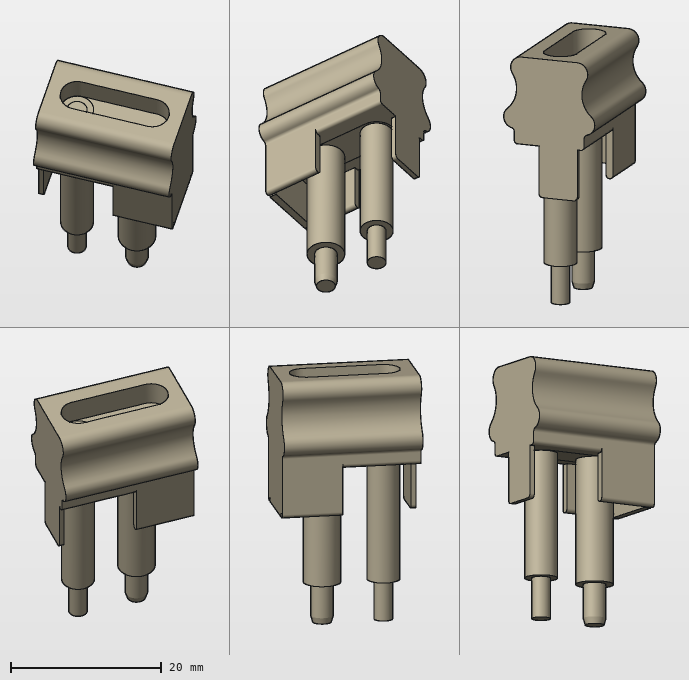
import cadquery as cq
import math

length = 18.75
height = 34.4
width = 13.0
underside_z = 22.4
base_half_width = 5.0
base_fillet = 0.48

grip_radius = 1.5
waist_radius = 3.8
neck_radius = 0.5
head_half_width = 5.5
ridge_z = 26.0

slot_length = 14.9
slot_width = 4.5
slot_depth = 3.3

fin_thickness = 0.7
fin_width = 5.47
fin_center_y = -1.27
fin_bottom_z = 15.35
fin_fillet = 0.5

skirt_start_x = 10.55
skirt_bottom_z = 15.82
plate_thickness = 1.0

sleeve_bottom_z = 5.5
thin_sleeve_diameter = 4.4
thin_sleeve_x = 4.15
thin_pin_diameter = 2.5
plug_diameter = 2.7
thick_sleeve_diameter = 5.02
thick_sleeve_x = 12.45
thick_pin_diameter = 3.03
tip_length = 0.85
tip_inset = 0.258

link_width = thick_sleeve_diameter
link_length = slot_length + link_width - slot_width

slot_floor_z = height - slot_depth


def point_between(start, end, distance):
    """Point at a distance from start on the way to end."""
    fraction = distance / math.dist(start, end)
    return (start[0] + fraction * (end[0] - start[0]), start[1] + fraction * (end[1] - start[1]))


def make_half_block():
    """The +Y half of the grip block, with its arcs tangent to each other."""
    head = (head_half_width - grip_radius, height - grip_radius)
    ridge = (width / 2 - grip_radius, ridge_z)

    half_gap = math.dist(head, ridge) / 2
    offset = math.sqrt((grip_radius + waist_radius) ** 2 - half_gap ** 2)
    across = ((head[1] - ridge[1]) / (2 * half_gap), (ridge[0] - head[0]) / (2 * half_gap))
    waist = (
        (head[0] + ridge[0]) / 2 + offset * across[0],
        (head[1] + ridge[1]) / 2 + offset * across[1],
    )

    neck_y = base_half_width + neck_radius
    neck_drop = math.sqrt((grip_radius + neck_radius) ** 2 - (neck_y - ridge[0]) ** 2)
    neck = (neck_y, ridge_z - neck_drop)
    neck_end = (base_half_width, neck[1])
    neck_start = point_between(neck, ridge, neck_radius)
    neck_chord_middle = ((neck_start[0] + neck_end[0]) / 2, (neck_start[1] + neck_end[1]) / 2)

    return (
        cq.Workplane("YZ")
        .moveTo(0, height)
        .lineTo(head[0], height)
        .threePointArc((head_half_width, head[1]), point_between(head, waist, grip_radius))
        .threePointArc((waist[0] - waist_radius, waist[1]), point_between(ridge, waist, grip_radius))
        .threePointArc((width / 2, ridge_z), neck_start)
        .threePointArc(point_between(neck, neck_chord_middle, neck_radius), neck_end)
        .lineTo(base_half_width, underside_z + base_fillet)
        .radiusArc((base_half_width - base_fillet, underside_z), base_fillet)
        .lineTo(0, underside_z)
        .close()
        .extrude(length)
    )


def box(x_range, y_range, z_range):
    """Box between two limits along each axis."""
    limits = (x_range, y_range, z_range)
    sizes = [high - low for low, high in limits]
    return cq.Workplane("XY").box(*sizes, centered=False).translate([low for low, high in limits])


def cylinder(diameter, center_x, bottom_z, top_z):
    """Upright cylinder on the middle plane of the part."""
    base = cq.Workplane("XY", origin=(center_x, 0, bottom_z))
    return base.circle(diameter / 2).extrude(top_z - bottom_z)


def long_round_bar(bar_length, bar_width, bottom_z, top_z):
    """Upright prism with round ends, centered along the housing."""
    base = cq.Workplane("XY", origin=(length / 2, 0, bottom_z))
    return base.slot2D(bar_length, bar_width).extrude(top_z - bottom_z)


def make_fin():
    y_range = (fin_center_y - fin_width / 2, fin_center_y + fin_width / 2)
    fin = box((0, fin_thickness), y_range, (fin_bottom_z, underside_z))
    return fin.edges("|X and <Z").fillet(fin_fillet)


def make_side_plate(side):
    """Side plate with a rounded lower edge; side is +1 for +Y and -1 for -Y."""
    middle_y = side * (base_half_width - plate_thickness / 2)
    y_range = (middle_y - plate_thickness / 2, middle_y + plate_thickness / 2)
    plate = box((skirt_start_x, length), y_range, (skirt_bottom_z, underside_z + base_fillet))
    return plate.edges("|X and <Z").fillet(base_fillet)


def make_end_wall():
    half_width = base_half_width - plate_thickness
    x_range = (length - plate_thickness, length)
    return box(x_range, (-half_width, half_width), (skirt_bottom_z, underside_z))


def make_housing():
    half_block = make_half_block()
    housing = half_block.union(half_block.mirror("XZ"))
    housing = housing.union(make_fin()).union(make_end_wall())
    for side in (-1, 1):
        housing = housing.union(make_side_plate(side))

    slot = long_round_bar(slot_length, slot_width, slot_floor_z, height)
    link_recess = long_round_bar(link_length, link_width, underside_z, slot_floor_z)
    return housing.cut(slot).cut(link_recess)


def make_link():
    """Bar between the slot floor and the housing underside, bored for the thin sleeve."""
    bar = long_round_bar(link_length, link_width, underside_z, slot_floor_z)
    return bar.cut(cylinder(thin_sleeve_diameter, thin_sleeve_x, underside_z, slot_floor_z))


def make_thin_sleeve():
    """Sleeve through the link, bored for the pin below and for the plug above."""
    sleeve = cylinder(thin_sleeve_diameter, thin_sleeve_x, sleeve_bottom_z, slot_floor_z)
    pin_bore = cylinder(thin_pin_diameter, thin_sleeve_x, sleeve_bottom_z, underside_z)
    plug_bore = cylinder(plug_diameter, thin_sleeve_x, underside_z, slot_floor_z)
    return sleeve.cut(pin_bore).cut(plug_bore)


def make_thick_sleeve():
    """Sleeve that ends against the underside of the link."""
    sleeve = cylinder(thick_sleeve_diameter, thick_sleeve_x, sleeve_bottom_z, underside_z)
    return sleeve.cut(cylinder(thick_pin_diameter, thick_sleeve_x, sleeve_bottom_z, underside_z))


def make_thick_pin():
    """Pin with a tapered tip."""
    pin = cylinder(thick_pin_diameter, thick_sleeve_x, 0, underside_z)
    return pin.faces("<Z").chamfer(tip_length, tip_inset)


housing = make_housing()
link = make_link()
thin_sleeve = make_thin_sleeve()
thin_pin = cylinder(thin_pin_diameter, thin_sleeve_x, 0, underside_z)
plug = cylinder(plug_diameter, thin_sleeve_x, underside_z, slot_floor_z)
thick_sleeve = make_thick_sleeve()
thick_pin = make_thick_pin()

result = cq.Compound.makeCompound(
    [
        housing.val(),
        link.val(),
        thin_sleeve.val(),
        thin_pin.val(),
        plug.val(),
        thick_sleeve.val(),
        thick_pin.val(),
    ]
)